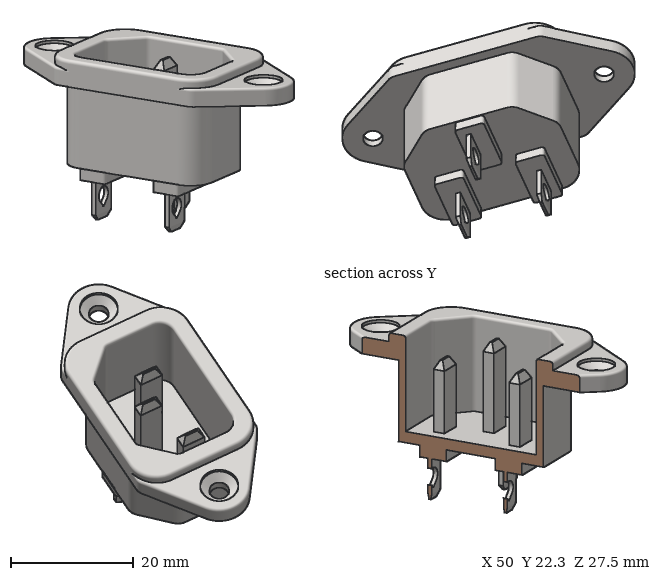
import cadquery as cq
import math


flange_length = 50.0
flange_height = 3.0
flange_half_width = 11.15
flange_corner_x = 12.9
flange_corner_radius = 2.0
flange_fillet = 0.45
ear_radius = 5.0
ear_x = flange_length / 2 - ear_radius

screw_radius = 1.6
countersink_radius = 3.1
countersink_floor = 1.5
countersink_lip = 0.5

rim_length = 30.5
rim_top = 4.5
rim_corner_radius = 5.0
rim_fillet = 0.6

body_half_length = 13.5
body_half_width = 9.55
body_depth = 14.0
body_corner_radius = 4.1
body_chamfer = 5.85
body_chamfer_radius = 2.5
cavity_corner_radius = 2.6
cavity_chamfer_radius = 1.0
wall = 1.4
floor_thickness = 2.0
mouth_fillet = 0.5

pin_thickness = 2.0
pin_width = 4.0
pin_tip_thickness = 0.4
pin_tip_width = 2.25
pin_tip_height = 1.5
side_pin_x = 7.0
pin_y = 2.0
earth_pin_top = 3.25
side_pin_top = 0.25

pad_length = 5.0
pad_width = 9.2
pad_height = 2.0
pad_y = 4.8
pad_corner_radius = 0.5
tab_thickness = 0.8
tab_width = 4.8
tab_tip_thickness = 0.4
tab_tip_width = 2.8
tab_tip_height = 1.0
tab_length = 7.0
tab_y = 5.5
tab_offset = (pin_thickness - tab_thickness) / 2
tab_hole_radius = 1.4
tab_hole_drop = 3.0

pick_margin = 0.05

body_bottom = -body_depth
cavity_floor = body_bottom + floor_thickness
pad_bottom = body_bottom - pad_height
tab_bottom = pad_bottom - tab_length


def make_flange():
    """Plate whose slanted sides run tangent to the round ears."""
    corner_dx = flange_corner_x - ear_x
    corner_distance = math.hypot(corner_dx, flange_half_width)
    tangent_angle = math.atan2(flange_half_width, corner_dx) - math.acos(ear_radius / corner_distance)
    tangent_x = ear_x + ear_radius * math.cos(tangent_angle)
    tangent_y = ear_radius * math.sin(tangent_angle)
    ear_end = ear_x + ear_radius
    plate = (
        cq.Workplane("XY")
        .moveTo(-flange_corner_x, flange_half_width)
        .lineTo(flange_corner_x, flange_half_width)
        .lineTo(tangent_x, tangent_y)
        .threePointArc((ear_end, 0), (tangent_x, -tangent_y))
        .lineTo(flange_corner_x, -flange_half_width)
        .lineTo(-flange_corner_x, -flange_half_width)
        .lineTo(-tangent_x, -tangent_y)
        .threePointArc((-ear_end, 0), (-tangent_x, tangent_y))
        .close()
        .extrude(flange_height)
    )
    flange_corners = cq.selectors.BoxSelector(
        (-flange_corner_x - pick_margin, -flange_half_width - pick_margin, 0),
        (flange_corner_x + pick_margin, flange_half_width + pick_margin, flange_height),
    )
    plate = plate.edges("|Z").edges(flange_corners).fillet(flange_corner_radius)
    return plate.faces(">Z").edges().fillet(flange_fillet)


def make_screw_hole(x):
    """Through hole with a conical countersink below a short straight lip."""
    return (
        cq.Workplane("XZ", origin=(x, 0, 0))
        .lineTo(screw_radius, 0)
        .lineTo(screw_radius, countersink_floor)
        .lineTo(countersink_radius, flange_height - countersink_lip)
        .lineTo(countersink_radius, flange_height)
        .lineTo(0, flange_height)
        .close()
        .revolve(360, (0, 0, 0), (0, 1, 0))
    )


def make_rim():
    """Rounded rectangular block that stands above the flange."""
    return (
        cq.Workplane("XY")
        .rect(rim_length, 2 * flange_half_width)
        .extrude(rim_top)
        .edges("|Z")
        .fillet(rim_corner_radius)
        .faces(">Z")
        .edges()
        .fillet(rim_fillet)
    )


def make_socket_prism(inset, bottom, top, corner_radius, chamfer_radius):
    """Body outline moved inwards by inset: chamfered at +Y, rounded at -Y."""
    half_length = body_half_length - inset
    half_width = body_half_width - inset
    chamfer = body_chamfer - inset * (2 - math.sqrt(2))
    chamfer_corners = cq.selectors.BoxSelector(
        (-body_half_length - pick_margin, 0, bottom),
        (body_half_length + pick_margin, body_half_width + pick_margin, top),
    )
    return (
        cq.Workplane("XY", origin=(0, 0, bottom))
        .moveTo(-half_length, -half_width)
        .lineTo(half_length, -half_width)
        .lineTo(half_length, half_width - chamfer)
        .lineTo(half_length - chamfer, half_width)
        .lineTo(chamfer - half_length, half_width)
        .lineTo(-half_length, half_width - chamfer)
        .close()
        .extrude(top - bottom)
        .edges("|Z and <Y")
        .fillet(corner_radius)
        .edges("|Z")
        .edges(chamfer_corners)
        .fillet(chamfer_radius)
    )


def make_tapered_bar(x, y, start, end, tip_height, base_size, tip_size):
    """Rectangular bar from height start to end, narrowing over tip_height."""
    direction = math.copysign(1, end - start)
    shoulder = end - direction * tip_height
    shank = cq.Workplane("XY", origin=(x, y, start)).rect(*base_size).extrude(shoulder - start)
    tip = (
        cq.Workplane("XY", origin=(x, y, shoulder))
        .rect(*base_size)
        .workplane(offset=end - shoulder)
        .rect(*tip_size)
        .loft()
    )
    return shank.union(tip)


def make_tab_hole(x, y):
    """Teardrop hole along X: a circle with a right-angled point below it."""
    z = pad_bottom - tab_hole_drop
    flank = tab_hole_radius / math.sqrt(2)
    return (
        cq.Workplane("YZ", origin=(x - tab_thickness, y, z))
        .moveTo(-flank, -flank)
        .threePointArc((0, tab_hole_radius), (flank, -flank))
        .lineTo(0, -2 * flank)
        .close()
        .extrude(2 * tab_thickness)
    )


def make_contact(x, side, pin_top):
    """Pin, pad and solder tab of one contact; side is +1 or -1 along Y."""
    pin = make_tapered_bar(
        x, side * pin_y, cavity_floor, pin_top, pin_tip_height,
        (pin_thickness, pin_width), (pin_tip_thickness, pin_tip_width),
    )
    pad = (
        cq.Workplane("XY", origin=(x, side * pad_y, pad_bottom))
        .rect(pad_length, pad_width)
        .extrude(pad_height)
        .edges("|Z")
        .fillet(pad_corner_radius)
    )
    tab_x = x + side * tab_offset
    tab = make_tapered_bar(
        tab_x, side * tab_y, pad_bottom, tab_bottom, tab_tip_height,
        (tab_thickness, tab_width), (tab_tip_thickness, tab_tip_width),
    )
    return pin.union(pad).union(tab.cut(make_tab_hole(tab_x, side * tab_y)))


result = make_flange().union(make_rim())
body = make_socket_prism(0, body_bottom, flange_height, body_corner_radius, body_chamfer_radius)
cavity = make_socket_prism(wall, cavity_floor, rim_top, cavity_corner_radius, cavity_chamfer_radius)
result = result.union(body).cut(cavity)
cavity_mouth = cq.selectors.BoxSelector(
    (-body_half_length, -body_half_width, rim_top - pick_margin),
    (body_half_length, body_half_width, rim_top + pick_margin),
)
result = result.edges(cavity_mouth).fillet(mouth_fillet)
for hole_x in (-ear_x, ear_x):
    result = result.cut(make_screw_hole(hole_x))

result = result.union(make_contact(0, 1, earth_pin_top))
for contact_x in (-side_pin_x, side_pin_x):
    result = result.union(make_contact(contact_x, -1, side_pin_top))